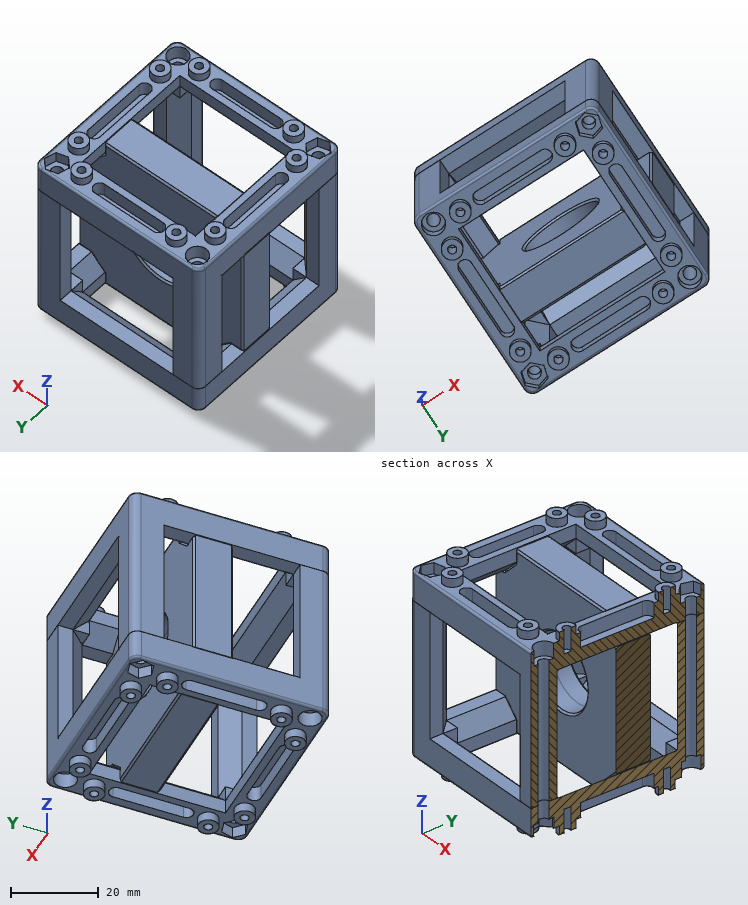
import cadquery as cq
cube_side = 49.8
opening_side = 34.0
corner_radius = 2.2
end_fillet = 0.6
half_shift = 0.01

half_side = cube_side / 2
half_opening = opening_side / 2
bar_width = half_side - half_opening
bar_land = 3.8
slope_start = half_side - bar_land

peg_diameter = 4.95
peg_height = 2.35
peg_hole_diameter = 2.05
peg_line = 20.55
peg_spacing = 14.25

slot_length = 21.0
slot_width = 3.4
slot_depth = 4.0
screw_offset = 21.15
screw_diameter = 3.1
head_diameter = 5.5
head_depth = 4.0
nut_width = 5.5
nut_depth = 3.0
nut_turn = -15
hexagon_flat_ratio = 0.75 ** 0.5

plate_thickness = 10.0
plate_middle = 4.55
plate_chamfer = 0.5
plate_hole_diameter = 20.0
plate_reach = 24.7
plate_clearance = 0.05

screw_corners = [(-1, -1), (1, 1)]
nut_corners = [(-1, 1), (1, -1)]


def full_block():
    """Cube envelope with rounded upright corners and a rounded bottom rim."""
    block = cq.Workplane("XY").box(cube_side, cube_side, cube_side)
    return block.edges("|Z").fillet(corner_radius).faces("<Z").edges().fillet(end_fillet)


def bar_profile(plane):
    """Square section at a cube edge with its inner corner cut off at 45 degrees."""
    return cq.Workplane(plane).polyline(
        [
            (half_side, half_side),
            (half_opening, half_side),
            (half_opening, slope_start),
            (slope_start, half_opening),
            (half_side, half_opening),
        ]
    ).close()


def frame_skeleton():
    """Square bottom ring with sloped bars, square corner blocks and two tall columns."""
    bar = bar_profile("XZ").extrude(half_side, both=True).mirror("XY")
    skeleton = bar
    for turn in range(1, 4):
        skeleton = skeleton.union(bar.rotate((0, 0, 0), (0, 0, 1), 90 * turn))
    block_middle = half_side - bar_width / 2
    for x_side in (-1, 1):
        for y_side in (-1, 1):
            block = cq.Workplane("XY").box(bar_width, bar_width, bar_width)
            place = (x_side * block_middle, y_side * block_middle, -block_middle)
            skeleton = skeleton.union(block.translate(place))
    column = bar_profile("XY").extrude(half_opening, both=True)
    for turn in (0, 180):
        skeleton = skeleton.union(column.rotate((0, 0, 0), (0, 0, 1), turn))
    return skeleton


def peg_points():
    """Centres of the eight pegs, two on each bar."""
    points = []
    for side in (-1, 1):
        for end in (-1, 1):
            points.append((end * peg_spacing, side * peg_line))
            points.append((side * peg_line, end * peg_spacing))
    return points


def screw_points(corners):
    """Screw centres in the given corners."""
    return [(x_side * screw_offset, y_side * screw_offset) for x_side, y_side in corners]


def end_face(offset=0.0):
    """Plane of the bottom end face, raised by the offset."""
    return cq.Workplane("XY").workplane(offset=offset - half_side)


def frame_half():
    """Lower half of the frame, with its pegs pointing down."""
    half = frame_skeleton().intersect(full_block())
    half = half.union(
        end_face(-peg_height).pushPoints(peg_points()).circle(peg_diameter / 2).extrude(peg_height)
    )
    half = half.cut(
        end_face(-peg_height)
        .pushPoints(peg_points())
        .circle(peg_hole_diameter / 2)
        .extrude(peg_height + slot_depth)
    )
    for side in (-1, 1):
        half = half.cut(
            end_face().center(0, side * peg_line).slot2D(slot_length, slot_width).extrude(slot_depth)
        )
        half = half.cut(
            end_face().center(side * peg_line, 0).slot2D(slot_length, slot_width, 90).extrude(slot_depth)
        )
    return cut_screw_holes(half)


def cut_screw_holes(half):
    """Through holes in all corners, with head recesses and hexagonal nut recesses."""
    all_points = screw_points(screw_corners + nut_corners)
    half = half.cut(end_face().pushPoints(all_points).circle(screw_diameter / 2).extrude(cube_side))
    half = half.cut(
        end_face().pushPoints(screw_points(screw_corners)).circle(head_diameter / 2).extrude(head_depth)
    )
    for x, y in screw_points(nut_corners):
        nut = end_face().polygon(6, nut_width / hexagon_flat_ratio).extrude(nut_depth)
        nut = nut.rotate((0, 0, 0), (0, 0, 1), nut_turn)
        half = half.cut(nut.translate((x, y, 0)))
    return half


def insert_plate():
    """Cross-shaped plate that fills the cube between the bars, with a round aperture."""
    arm = half_opening - plate_clearance
    shoulder = slope_start - plate_clearance
    corner_points = [(plate_reach, arm), (shoulder, arm), (arm, shoulder), (arm, plate_reach)]
    points = []
    for x_side, z_side in [(1, 1), (-1, 1), (-1, -1), (1, -1)]:
        quarter = [(x_side * x, z_side * z) for x, z in corner_points]
        if x_side != z_side:
            quarter.reverse()
        points += quarter
    plate = cq.Workplane("XZ").polyline(points).close().extrude(plate_thickness / 2, both=True)
    plate = plate.cut(
        cq.Workplane("XZ").circle(plate_hole_diameter / 2).extrude(plate_thickness, both=True)
    )
    plate = plate.faces("<Y or >Y").edges().chamfer(plate_chamfer)
    return plate.translate((0, plate_middle, 0))


lower_half = frame_half().translate((-half_shift, 0, 0))
upper_half = frame_half().rotate((0, 0, 0), (1, 0, 0), 180).translate((half_shift, 0, 0))
plate = insert_plate()

result = cq.Compound.makeCompound([lower_half.val(), upper_half.val(), plate.val()])